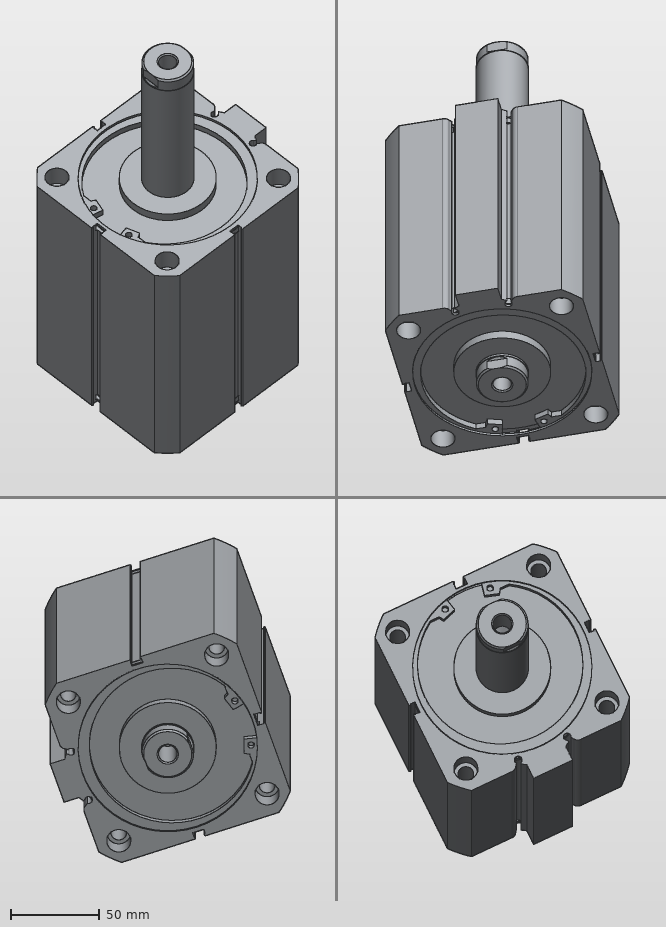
import cadquery as cq
import math

total_length = 262.5
body_side = 115.0
body_height = 152.5
rod_bottom_reach = 10.0
half_side = body_side / 2
rod_bottom = -rod_bottom_reach
rod_top = total_length - rod_bottom_reach

corner_start = 47.2
corner_radius = math.hypot(half_side, corner_start)
bore_radius = 51.0
bolt_spacing = 89.0
bolt_radius = 4.5
counterbore_radius = 6.8
counterbore_depth = 13.0
rail_half_width = 12.3
rail_height = 9.0
rail_groove_center = (15.5, 52.8)
rail_groove_radius = 2.0
rail_groove_rail_side = [(15.2, 55.6), (14.0, 54.0)]
rail_groove_body_side = [(16.8, 53.5), (18.5, 55.6)]
rail_groove_rounding_middle = (19.7, 57.0)
rail_groove_rounding_end = 21.8
slot_lip = 1.0
slot_mouth_flare = 0.5
front_slot_depth = 4.7
front_slot_width = 7.0
front_slot_mouth = 5.5
side_slot_depth = 4.0
side_slot_width = 6.5
side_slot_mouth = 5.2

ring_inset = 1.5
ring_thickness = 4.0
ring_radius = 53.8
ring_inner_radius = 47.0
ring_inner_shift = 2.5
ring_gap_angle = 12.5
lug_radius = 43.5
lug_shoulder = (17.5, -40.0)
lug_foot = (19.2, -42.5)
lug_hole_center = (14.2, -45.2)
lug_hole_radius = 1.8

cover_inset = ring_inset + ring_thickness
cover_thickness = 21.0
boss_radius = 27.5

rod_radius = 15.0
neck_radius = 14.7
neck_length = 8.5
rod_chamfer = 1.0
flat_width = 27.0
flat_length = 6.8
rod_hole_radius = 5.2
rod_hole_mouth_chamfer = 0.8
rod_hole_depth = 26.2
drill_tip_half_angle = 59.0


def mirror_to_bottom(top_body):
    """Copy of a top-end body, reflected to the other end of the housing."""
    mid_plane = (0, 0, body_height / 2)
    return top_body.mirror("XY", mid_plane)


def cylinder(radius, z_low, z_high):
    return cq.Workplane("XY").workplane(offset=z_low).circle(radius).extrude(z_high - z_low)


def make_block():
    """Square profile with its corners turned to one circle about the axis."""
    square = cq.Workplane("XY").rect(body_side, body_side).extrude(body_height)
    return square.intersect(cylinder(corner_radius, 0, body_height))


def make_rail():
    """Rectangular rail standing on the +Y side."""
    return (
        cq.Workplane("XY")
        .center(0, half_side)
        .rect(2 * rail_half_width, 2 * rail_height)
        .extrude(body_height)
    )


def make_rail_groove():
    """Undercut groove along the +X foot of the rail: a flared mouth over a round bottom."""
    mouth = (
        cq.Workplane("XY")
        .moveTo(rail_half_width, half_side)
        .polyline(rail_groove_rail_side + rail_groove_body_side, includeCurrent=True)
        .threePointArc(rail_groove_rounding_middle, (rail_groove_rounding_end, half_side))
        .close()
        .extrude(body_height)
    )
    bottom = cq.Workplane("XY").center(*rail_groove_center).circle(rail_groove_radius).extrude(body_height)
    return mouth.union(bottom)


def make_t_slot(depth, width, mouth_width):
    """Full-height T-slot on the -Y side, its mouth edges bevelled."""
    lip_inside_y = -half_side + slot_lip
    floor_y = -half_side + depth
    half_profile = [
        (mouth_width / 2 + slot_mouth_flare, -half_side),
        (mouth_width / 2, -half_side + slot_mouth_flare),
        (mouth_width / 2, lip_inside_y),
        (width / 2, lip_inside_y),
        (width / 2, floor_y),
    ]
    other_half = [(-x, y) for x, y in reversed(half_profile)]
    return cq.Workplane("XY").polyline(half_profile + other_half).close().extrude(body_height)


def make_bolt_holes():
    """Four through holes, counterbored from both ends."""
    through = cq.Workplane("XY").rect(bolt_spacing, bolt_spacing, forConstruction=True).vertices()
    holes = through.circle(bolt_radius).extrude(body_height)
    for start in (0, body_height - counterbore_depth):
        end = cq.Workplane("XY").workplane(offset=start)
        centers = end.rect(bolt_spacing, bolt_spacing, forConstruction=True).vertices()
        holes = holes.union(centers.circle(counterbore_radius).extrude(counterbore_depth))
    return holes


def make_housing():
    housing = make_block().union(make_rail())
    rail_groove = make_rail_groove()
    housing = housing.cut(rail_groove).cut(rail_groove.mirror("YZ"))
    housing = housing.cut(make_t_slot(front_slot_depth, front_slot_width, front_slot_mouth))
    side_slot = make_t_slot(side_slot_depth, side_slot_width, side_slot_mouth)
    for angle in (90, -90):
        housing = housing.cut(side_slot.rotate((0, 0, 0), (0, 0, 1), angle))
    housing = housing.cut(make_bolt_holes())
    housing = housing.cut(cylinder(bore_radius, 0, body_height))
    ring_groove = cylinder(ring_radius, body_height - cover_inset, body_height - ring_inset)
    return housing.cut(ring_groove).cut(mirror_to_bottom(ring_groove))


def make_top_ring():
    """Internal retaining ring, open towards -Y, with a holed lug at each end."""
    gap = math.radians(ring_gap_angle)
    gap_x = math.sin(gap)
    gap_y = -math.cos(gap)
    foot_x, foot_y = lug_foot
    inner_end_x = math.sqrt(ring_inner_radius ** 2 - (foot_y + ring_inner_shift) ** 2)
    shoulder_x, shoulder_y = lug_shoulder
    return (
        cq.Workplane("XY")
        .workplane(offset=body_height - cover_inset)
        .moveTo(ring_radius * gap_x, ring_radius * gap_y)
        .threePointArc((0, ring_radius), (-ring_radius * gap_x, ring_radius * gap_y))
        .lineTo(-lug_radius * gap_x, lug_radius * gap_y)
        .lineTo(-shoulder_x, shoulder_y)
        .lineTo(-foot_x, foot_y)
        .lineTo(-inner_end_x, foot_y)
        .threePointArc((0, ring_inner_radius - ring_inner_shift), (inner_end_x, foot_y))
        .lineTo(foot_x, foot_y)
        .lineTo(shoulder_x, shoulder_y)
        .lineTo(lug_radius * gap_x, lug_radius * gap_y)
        .close()
        .pushPoints([lug_hole_center, (-lug_hole_center[0], lug_hole_center[1])])
        .circle(lug_hole_radius)
        .extrude(ring_thickness)
    )


def make_top_cover():
    """Disc closing the bore, with a boss level with the housing end and a rod hole."""
    face_z = body_height - cover_inset
    disc = cylinder(bore_radius, face_z - cover_thickness, face_z)
    boss = cylinder(boss_radius, face_z, body_height)
    return disc.union(boss).cut(cylinder(rod_radius, 0, body_height))


def make_rod_end_cuts():
    """Material removed from the top end of the rod: two wrench flats and a drilled hole."""
    flat_offset = flat_width / 2
    flat_depth = rod_radius - flat_offset
    flat_bottom = rod_top - flat_length
    flat = (
        cq.Workplane("YZ")
        .moveTo(flat_offset, rod_top)
        .lineTo(flat_offset, flat_bottom)
        .lineTo(rod_radius, flat_bottom - flat_depth)
        .lineTo(rod_radius, rod_top)
        .close()
        .extrude(rod_radius, both=True)
    )
    mouth_radius = rod_hole_radius + rod_hole_mouth_chamfer
    hole_bottom = rod_top - rod_hole_depth
    tip_length = rod_hole_radius / math.tan(math.radians(drill_tip_half_angle))
    hole = (
        cq.Workplane("XZ")
        .moveTo(0, rod_top)
        .lineTo(mouth_radius, rod_top)
        .lineTo(rod_hole_radius, rod_top - rod_hole_mouth_chamfer)
        .lineTo(rod_hole_radius, hole_bottom)
        .lineTo(0, hole_bottom - tip_length)
        .close()
        .revolve(360, (0, 0, 0), (0, 1, 0))
    )
    return flat.union(flat.mirror("XZ")).union(hole)


def make_rod():
    """Through rod with the same neck, chamfer, flats and hole at both ends."""
    shaft = cylinder(rod_radius, rod_bottom + neck_length, rod_top - neck_length)
    necks = cylinder(neck_radius, rod_bottom, rod_top).faces("<Z or >Z").chamfer(rod_chamfer)
    rod = necks.union(shaft)
    top_cuts = make_rod_end_cuts()
    bottom_cuts = top_cuts.mirror("XY", (0, 0, (rod_top + rod_bottom) / 2))
    return rod.cut(top_cuts).cut(bottom_cuts)


housing = make_housing()
rod = make_rod()
top_cover = make_top_cover()
top_ring = make_top_ring()
bodies = [housing.val(), rod.val()]
for end_part in (top_cover, top_ring):
    bodies.append(end_part.val())
    bodies.append(mirror_to_bottom(end_part).val())

result = cq.Compound.makeCompound(bodies)